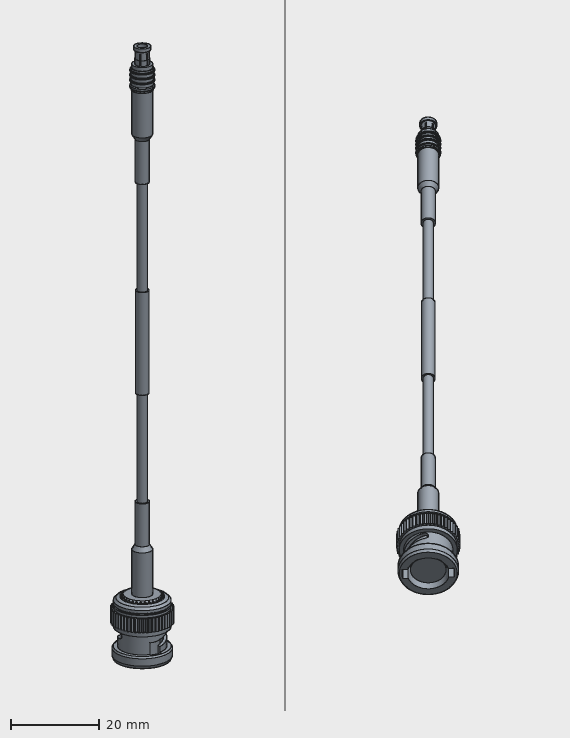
import cadquery as cq
import math


TOTAL_LENGTH = 149.8
BAYONET_LENGTH = 15.7
SNAP_PLUG_LENGTH = 10.6
SNAP_PLUG_BASE = TOTAL_LENGTH - SNAP_PLUG_LENGTH

CABLE_RADIUS = 1.2
SLEEVE_RADIUS = 3.1 / 2
SLEEVE_LENGTH = 25.2
CABLE_MIDDLE = (BAYONET_LENGTH + SNAP_PLUG_BASE) / 2
BOOT_WIDE_RADIUS = 2.4
BOOT_WIDE_LENGTH = 7.3
BOOT_TIP_RADIUS = 1.6
BOOT_TAPER_LENGTH = 0.8
BOOT_LENGTH = 15.1

PLUG_BODY_RADIUS = 2.5
PLUG_BODY_LENGTH = 6.3
PLUG_STEP_RADIUS = 2.4
PLUG_STEP_LENGTH = 0.9
RIB_RADIUS = 2.8
RIB_THICKNESS = 0.3
RIB_HEIGHTS = (2.4, 3.6, 4.8)
BAND_BOTTOM = 0.5
BAND_THICKNESS = 0.9
BAND_CHAMFER = 0.22
NECK_RADIUS = 1.6
LIP_RADIUS = 2.0
LIP_THICKNESS = 0.9
COLLAR_TOP = 7.6
COLLAR_RADIUS = 3.5 / 2
SOCKET_RADIUS = 1.2
SOCKET_DEPTH = 1.5
PIN_RADIUS = 0.3
PIN_RECESS = 0.5
SLOT_COUNT = 6
SLOT_WIDTH = 0.3
SLOT_TOP = 9.1

TOOTH_TIP_SHARE = 0.1

NUT_RADIUS = 14.5 / 2
GRIP_RADIUS = 6.6
KNURL_COUNT = 50
KNURL_BOTTOM = 9.0
KNURL_TOP = 12.5
KNURL_ROOT_RADIUS = 6.9
GRIP_BOTTOM = 7.8
CONE_TOP_RADIUS = 5.1
CONE_BASE_RADIUS = 6.0
CONE_BASE = 14.8
SHOULDER_HEIGHT = 14.2
GROOVE_TOP = 13.5
GROOVE_BOTTOM = 13.0
GROOVE_RADIUS = 6.1
BARREL_RADIUS = 11.2 / 2
RIM_RADIUS = 6.9
RIM_EDGE_RADIUS = 6.6
RIM_TOP = 3.0
RIM_BEVEL = 0.5
RIM_FOOT_BEVEL = 0.7
NUT_TOP = 15.1
NUT_BORE_RADIUS = 4.8
NUT_BORE_TOP = 10.5

TRACK_COUNT = 2
TRACK_ENTRY_ANGLE = 138.0
TRACK_SWEEP = 83.0
TRACK_ENTRY_HEIGHT = 5.0
TRACK_LOCK_HEIGHT = 6.6
TRACK_WIDTH = 1.8
TRACK_CUT_DEPTH = 2.4
ENTRY_WIDTH = 2.7
ENTRY_RADIUS = 6.0
LOCK_HOLE_RADIUS = 0.9

REAR_RADIUS = 3.7
END_RING_TIP_RADIUS = 5.0
END_RING_ROOT_RADIUS = 4.5
END_RING_FACE_RADIUS = 4.3
END_RING_TEETH = 30
NOSE_RADIUS = 4.0
NOSE_BOTTOM = 1.2
FLANGE_BOTTOM = 9.0


def disc(radius, bottom, top):
    return cq.Workplane("XY").workplane(offset=bottom).circle(radius).extrude(top - bottom)


def revolved(profile):
    """Turn a closed (radius, height) outline about Z."""
    return cq.Workplane("XZ").polyline(profile).close().revolve(360, (0, 0), (0, 1))


def make_cable():
    return disc(CABLE_RADIUS, BAYONET_LENGTH, SNAP_PLUG_BASE)


def make_sleeve():
    sleeve = disc(SLEEVE_RADIUS, CABLE_MIDDLE - SLEEVE_LENGTH / 2, CABLE_MIDDLE + SLEEVE_LENGTH / 2)
    return sleeve.cut(make_cable())


def make_boot(base, direction):
    """A stepped boot whose wide end sits at `base` and which points up (1) or down (-1)."""
    wide_end = base + direction * BOOT_WIDE_LENGTH
    taper_end = wide_end + direction * BOOT_TAPER_LENGTH
    tip = base + direction * BOOT_LENGTH
    return revolved([
        (CABLE_RADIUS, base),
        (BOOT_WIDE_RADIUS, base),
        (BOOT_WIDE_RADIUS, wide_end),
        (BOOT_TIP_RADIUS, taper_end),
        (BOOT_TIP_RADIUS, tip),
        (CABLE_RADIUS, tip),
    ])


def make_neck_slots():
    """Narrow slots across the neck axis, each opening on two opposite sides, one pair facing Y."""
    height = SLOT_TOP - PLUG_BODY_LENGTH
    slot = cq.Workplane("XY").box(2 * LIP_RADIUS, SLOT_WIDTH, height, centered=(True, True, False))
    slot = slot.translate((0, 0, PLUG_BODY_LENGTH))
    return [slot.rotate((0, 0, 0), (0, 0, 1), 90 + i * 360 / SLOT_COUNT) for i in range(SLOT_COUNT // 2)]


def make_snap_plug():
    step_bottom = PLUG_BODY_LENGTH - PLUG_STEP_LENGTH
    plug = disc(PLUG_BODY_RADIUS, 0, step_bottom)
    plug = plug.union(disc(PLUG_STEP_RADIUS, step_bottom, PLUG_BODY_LENGTH))
    band = disc(RIB_RADIUS, BAND_BOTTOM, BAND_BOTTOM + BAND_THICKNESS)
    plug = plug.union(band.edges().chamfer(BAND_CHAMFER))
    for height in RIB_HEIGHTS:
        plug = plug.union(disc(RIB_RADIUS, height - RIB_THICKNESS / 2, height + RIB_THICKNESS / 2))

    neck_top = SNAP_PLUG_LENGTH - LIP_THICKNESS
    plug = plug.union(disc(COLLAR_RADIUS, PLUG_BODY_LENGTH, COLLAR_TOP))
    plug = plug.union(disc(NECK_RADIUS, COLLAR_TOP, neck_top))
    plug = plug.union(disc(LIP_RADIUS, neck_top, SNAP_PLUG_LENGTH))
    for slot in make_neck_slots():
        plug = plug.cut(slot)
    plug = plug.cut(disc(SOCKET_RADIUS, PLUG_BODY_LENGTH, SNAP_PLUG_LENGTH))

    socket_bottom = SNAP_PLUG_LENGTH - SOCKET_DEPTH
    plug = plug.union(disc(SOCKET_RADIUS, PLUG_BODY_LENGTH, socket_bottom))
    plug = plug.union(disc(PIN_RADIUS, socket_bottom, SNAP_PLUG_LENGTH - PIN_RECESS))
    return plug.translate((0, 0, SNAP_PLUG_BASE))


def toothed_disc(tip_radius, root_radius, count, bottom, top):
    """A disc whose edge is a row of flat-topped teeth, one of them pointing along +X."""
    pitch = 2 * math.pi / count
    corners = (
        (tip_radius, -TOOTH_TIP_SHARE / 2),
        (tip_radius, TOOTH_TIP_SHARE / 2),
        (root_radius, 0.5 - TOOTH_TIP_SHARE / 2),
        (root_radius, 0.5 + TOOTH_TIP_SHARE / 2),
    )
    points = []
    for i in range(count):
        for radius, share in corners:
            angle = (i + share) * pitch
            points.append((radius * math.cos(angle), radius * math.sin(angle)))
    return cq.Workplane("XY").workplane(offset=bottom).polyline(points).close().extrude(top - bottom)


def make_track():
    """One bayonet track: entry channel, helical slope and round locking hole, entry at +X."""
    rise = TRACK_LOCK_HEIGHT - TRACK_ENTRY_HEIGHT
    helix = cq.Wire.makeHelix(rise * 360 / TRACK_SWEEP, rise, BARREL_RADIUS)
    section = cq.Workplane("XZ").center(BARREL_RADIUS, 0).rect(TRACK_CUT_DEPTH, TRACK_WIDTH)
    slope = section.sweep(cq.Workplane(helix), isFrenet=True).translate((0, 0, TRACK_ENTRY_HEIGHT))

    hole = cq.Workplane("YZ").circle(LOCK_HOLE_RADIUS).extrude(NUT_RADIUS)
    hole = hole.translate((0, 0, TRACK_LOCK_HEIGHT)).rotate((0, 0, 0), (0, 0, 1), TRACK_SWEEP)

    entry_height = TRACK_ENTRY_HEIGHT + TRACK_WIDTH / 2
    entry = cq.Workplane("XY").box(NUT_RADIUS, ENTRY_WIDTH, entry_height, centered=(False, True, False))
    entry = entry.intersect(disc(ENTRY_RADIUS, 0, entry_height))
    return [slope, hole, entry]


def make_nut():
    nut = revolved([
        (NUT_BORE_RADIUS, 0),
        (RIM_EDGE_RADIUS, 0),
        (RIM_RADIUS, RIM_FOOT_BEVEL),
        (RIM_RADIUS, RIM_TOP - RIM_BEVEL),
        (RIM_EDGE_RADIUS, RIM_TOP),
        (BARREL_RADIUS, RIM_TOP),
        (BARREL_RADIUS, GRIP_BOTTOM),
        (GRIP_RADIUS, GRIP_BOTTOM),
        (GRIP_RADIUS, GROOVE_BOTTOM),
        (GROOVE_RADIUS, GROOVE_BOTTOM),
        (GROOVE_RADIUS, GROOVE_TOP),
        (GRIP_RADIUS, GROOVE_TOP),
        (GRIP_RADIUS, SHOULDER_HEIGHT),
        (CONE_BASE_RADIUS, CONE_BASE),
        (CONE_TOP_RADIUS, NUT_TOP),
        (REAR_RADIUS, NUT_TOP),
        (REAR_RADIUS, NUT_BORE_TOP),
        (NUT_BORE_RADIUS, NUT_BORE_TOP),
    ])
    knurl = toothed_disc(NUT_RADIUS, KNURL_ROOT_RADIUS, KNURL_COUNT, KNURL_BOTTOM, KNURL_TOP)
    nut = nut.union(knurl.cut(disc(GROOVE_RADIUS, KNURL_BOTTOM, KNURL_TOP)))
    for i in range(TRACK_COUNT):
        angle = TRACK_ENTRY_ANGLE + i * 360 / TRACK_COUNT
        for cutter in make_track():
            nut = nut.cut(cutter.rotate((0, 0, 0), (0, 0, 1), angle))
    return nut


def make_bayonet_body():
    """A stepped plug core held in the nut between its flange and its toothed end ring."""
    core = revolved([
        (0, NOSE_BOTTOM),
        (NOSE_RADIUS, NOSE_BOTTOM),
        (NOSE_RADIUS, FLANGE_BOTTOM),
        (NUT_BORE_RADIUS, FLANGE_BOTTOM),
        (NUT_BORE_RADIUS, NUT_BORE_TOP),
        (REAR_RADIUS, NUT_BORE_TOP),
        (REAR_RADIUS, NUT_TOP),
        (0, NUT_TOP),
    ])
    end_ring = toothed_disc(
        END_RING_TIP_RADIUS, END_RING_ROOT_RADIUS, END_RING_TEETH, NUT_TOP, BAYONET_LENGTH
    )
    cone = revolved([
        (0, NUT_TOP),
        (END_RING_TIP_RADIUS, NUT_TOP),
        (END_RING_FACE_RADIUS, BAYONET_LENGTH),
        (0, BAYONET_LENGTH),
    ])
    return core.union(end_ring.intersect(cone))


cable = make_cable()
sleeve = make_sleeve()
boots = [make_boot(BAYONET_LENGTH, 1.5), make_boot(SNAP_PLUG_BASE, -1.5)]
snap_plug = make_snap_plug()
nut = make_nut()
bayonet_body = make_bayonet_body()

result = cq.Compound.makeCompound([
    cable.val(),
    sleeve.val(),
    *[boot.val() for boot in boots],
    snap_plug.val(),
    nut.val(),
    bayonet_body.val(),
])